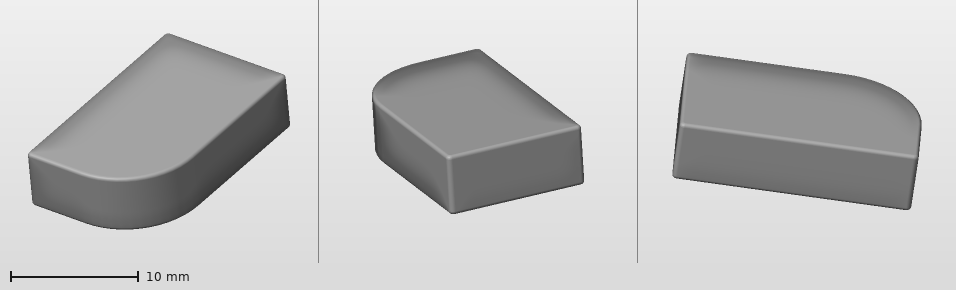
import cadquery as cq

WIDTH = 11.65
LENGTH = 18.85
HEIGHT = 5.0
TILT = 7.5
NOSE_RADIUS = 6.35
CORNER_RADIUS = 0.39
RIM_RADIUS = 0.29


def build_block():
    """Block with one large rounded front corner and softened edges."""
    block = cq.Workplane("XY").box(WIDTH, LENGTH, HEIGHT)
    block = block.edges("|Z and >X and <Y").fillet(NOSE_RADIUS)
    block = block.edges("|Z and (<X or >Y)").fillet(CORNER_RADIUS)
    return block.faces("<Z or >Z").edges().fillet(RIM_RADIUS)


result = build_block().rotate((0, 0, 0), (1, 0, 0), TILT)